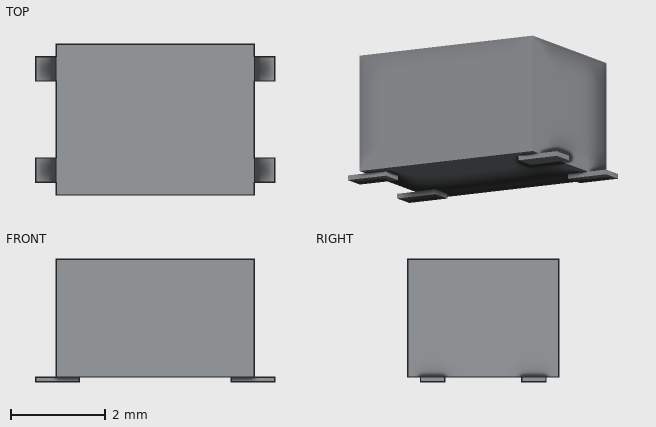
import cadquery as cq

housing_length = 4.2
housing_width = 3.2
housing_height = 2.5

lead_span = 5.07
lead_length = 0.93
lead_width = 0.52
lead_thickness = 0.1
lead_pitch = 2.145

lead_center_x = (lead_span - lead_length) / 2
lead_center_y = lead_pitch / 2


def make_housing():
    """Plain block resting on top of the leads."""
    return (
        cq.Workplane("XY")
        .workplane(offset=lead_thickness)
        .rect(housing_length, housing_width)
        .extrude(housing_height)
    )


def make_lead(side_x, side_y):
    """Flat strip reaching out from under the housing; the sides are -1 or +1."""
    return (
        cq.Workplane("XY")
        .center(side_x * lead_center_x, side_y * lead_center_y)
        .rect(lead_length, lead_width)
        .extrude(lead_thickness)
    )


housing = make_housing()

leads = []
for side_x in (-1, 1):
    for side_y in (-1, 1):
        leads.append(make_lead(side_x, side_y).val())

result = cq.Compound.makeCompound([housing.val(), *leads])